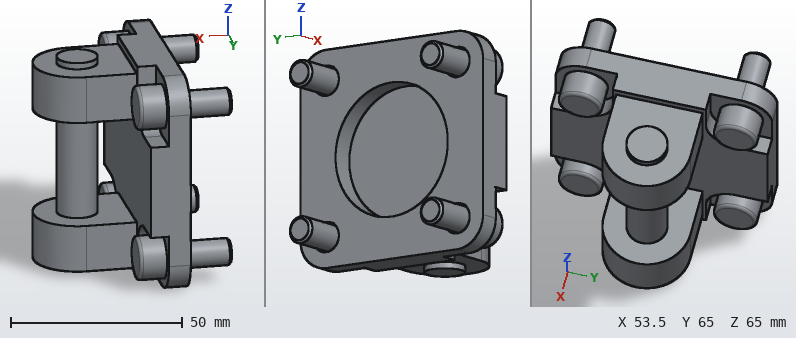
import cadquery as cq

flange_side = 65.0
flange_thickness = 6.5
flange_corner_radius = 9.2
pad_top = 11.95
pad_half_width = 14.0
recess_diameter = 40.0
recess_depth = 7.0

bolt_offset = 23.3
bolt_diameter = 8.0
bolt_tip = 13.5
bolt_tip_chamfer = 0.8
head_diameter = 13.0
head_height = 8.0
head_fillet = 1.0
bolt_hole_diameter = 9.0

lug_radius = 13.0
lug_centre_x = 27.0
lug_gap = 32.0
lug_thickness = 14.1
bar_diameter = 12.0
bar_length = 64.0

bolt_positions = [(y, z) for y in (-bolt_offset, bolt_offset) for z in (-bolt_offset, bolt_offset)]


def make_flange():
    """Rounded square plate with a pad that leaves a round-cornered notch at every bolt."""
    flange = (
        cq.Workplane("YZ")
        .rect(flange_side, flange_side)
        .extrude(pad_top)
        .edges("|X")
        .fillet(flange_corner_radius)
    )
    notch_centre = pad_half_width + flange_side / 2
    notch_radius = bolt_offset - pad_half_width
    notch_points = [(y, z) for y in (-notch_centre, notch_centre) for z in (-notch_centre, notch_centre)]
    notches = (
        cq.Workplane("YZ", origin=(flange_thickness, 0, 0))
        .pushPoints(notch_points)
        .rect(flange_side, flange_side)
        .extrude(pad_top - flange_thickness)
        .edges("|X")
        .fillet(notch_radius)
    )
    return flange.cut(notches)


def make_lug(bottom_z):
    """Round-ended lug that stands on the pad, with its lower face at bottom_z."""
    return (
        cq.Workplane("XY", origin=(0, 0, bottom_z))
        .moveTo(pad_top, -lug_radius)
        .lineTo(lug_centre_x, -lug_radius)
        .threePointArc((lug_centre_x + lug_radius, 0), (lug_centre_x, lug_radius))
        .lineTo(pad_top, lug_radius)
        .close()
        .extrude(lug_thickness)
    )


def make_bracket():
    """Flange, both lugs and the cross bar as one solid, with the recess and the bolt holes."""
    cross_bar = (
        cq.Workplane("XY", origin=(lug_centre_x, 0, -bar_length / 2))
        .circle(bar_diameter / 2)
        .extrude(bar_length)
    )
    recess = cq.Workplane("YZ").circle(recess_diameter / 2).extrude(recess_depth)
    bolt_holes = (
        cq.Workplane("YZ")
        .pushPoints(bolt_positions)
        .circle(bolt_hole_diameter / 2)
        .extrude(flange_thickness)
    )
    bracket = make_flange()
    for bottom_z in (lug_gap / 2, -lug_gap / 2 - lug_thickness):
        bracket = bracket.union(make_lug(bottom_z))
    return bracket.union(cross_bar).cut(recess).cut(bolt_holes)


def make_bolt(y, z):
    """Cylinder-head bolt seated on the front of the flange, its tip pointing to -X."""
    shank = (
        cq.Workplane("YZ", origin=(-bolt_tip, y, z))
        .circle(bolt_diameter / 2)
        .extrude(bolt_tip + flange_thickness)
        .faces("<X")
        .chamfer(bolt_tip_chamfer)
    )
    head = (
        cq.Workplane("YZ", origin=(flange_thickness, y, z))
        .circle(head_diameter / 2)
        .extrude(head_height)
        .faces(">X")
        .edges()
        .fillet(head_fillet)
    )
    return shank.union(head)


bracket = make_bracket()
bolts = [make_bolt(y, z) for y, z in bolt_positions]

result = cq.Compound.makeCompound([bracket.val(), *[bolt.val() for bolt in bolts]])